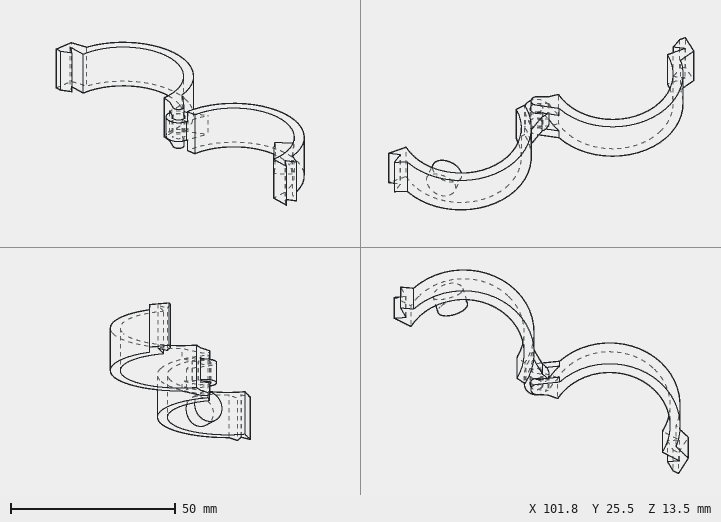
import cadquery as cq
import math

height = 13.5
inner_radius = 18.4
wall = 3.1
outer_radius = inner_radius + wall
ring_offset = 25.5
end_rise = 0.4

pin_radius = 3.5 / 2
hole_radius = 4.0 / 2
knuckle_radius = 3.8
knuckle_height = 6.5
fork_gap = 7.1
arm_root_height = 5.7
web_root_height = 7.2

left_end = -51.9
right_end = left_end + 101.8
hook_bottom = -4.0
hook_flat = 1.9
hook_tip = (-46.9, -2.0)
hook_shoulder = 2.1
hook_root_height = 3.8
catch_root_height = 5.7
catch_tip_height = 4.1
catch_notch_depth = 3.1

plug_diameter = 9.5
plug_face_distance = 12.4
plug_angle = 45.0


def ring_point(radius, y):
    """Horizontal distance from a ring centre to its circle at height y."""
    return math.sqrt(radius**2 - y**2)


def extrude_centred(sketch, depth):
    return sketch.extrude(depth).translate((0, 0, -depth / 2))


def prism(points, depth):
    return extrude_centred(cq.Workplane("XY").polyline(points).close(), depth)


def cylinder(radius, depth):
    return extrude_centred(cq.Workplane("XY").circle(radius), depth)


def half_ring(side):
    """Half ring on the left (side = -1) or right (side = 1) of the hinge."""
    centre = side * ring_offset
    hinge_outer = (centre - side * outer_radius, 0)
    hinge_inner = (centre - side * ring_point(inner_radius, end_rise), end_rise)
    outline = (
        cq.Workplane("XY")
        .moveTo(*hinge_outer)
        .threePointArc((centre, outer_radius), (centre + side * outer_radius, 0))
        .lineTo(centre + side * inner_radius, 0)
        .threePointArc((centre, inner_radius), hinge_inner)
        .close()
    )
    return extrude_centred(outline, height)


def pin_tangent_point(point, turn):
    """Point where the line from `point` touches the pin circle on one side."""
    distance = math.hypot(*point)
    angle = math.atan2(point[1], point[0]) + turn * math.acos(pin_radius / distance)
    return (pin_radius * math.cos(angle), pin_radius * math.sin(angle))


def fork():
    """Two arms tapering from the left ring to the hinge pin that joins them."""
    upper_root = (ring_point(outer_radius, arm_root_height) - ring_offset, arm_root_height)
    lower_root = (outer_radius - ring_offset, 0)
    inside_wall = (inner_radius + wall / 2 - ring_offset, end_rise)
    arms = (
        cq.Workplane("XY")
        .moveTo(*inside_wall)
        .lineTo(*upper_root)
        .lineTo(*pin_tangent_point(upper_root, -1))
        .threePointArc((pin_radius, 0), pin_tangent_point(lower_root, 1))
        .lineTo(*lower_root)
        .close()
    )
    gap = cylinder(outer_radius, fork_gap).cut(cylinder(pin_radius, fork_gap))
    return extrude_centred(arms, height).cut(gap)


def hook():
    """Barbed hook at the free end of the left ring."""
    mid_wall = -ring_offset - inner_radius - wall / 2
    points = [
        (mid_wall, 0),
        (left_end + hook_flat, 0),
        hook_tip,
        (left_end + hook_flat, hook_bottom),
        (left_end, hook_bottom),
        (left_end, hook_shoulder),
        (-ring_offset - ring_point(outer_radius, hook_root_height), hook_root_height),
    ]
    return prism(points, height)


def catch():
    """Notched catch at the free end of the right ring."""
    mid_wall = ring_offset + inner_radius + wall / 2
    points = [
        (mid_wall, 0),
        (right_end, 0),
        (right_end - catch_notch_depth, catch_tip_height / 2),
        (right_end, catch_tip_height),
        (ring_offset + ring_point(outer_radius, catch_root_height), catch_root_height),
    ]
    return prism(points, height)


def knuckle():
    """Hinge eye joined to the right ring by a sloping web, before boring."""
    web_root = ring_offset - ring_point(outer_radius, web_root_height)
    points = [
        (0, 0),
        (0, knuckle_radius),
        (web_root, web_root_height),
        (ring_offset - outer_radius + wall / 2, end_rise),
        (ring_offset - outer_radius, 0),
    ]
    return cylinder(knuckle_radius, knuckle_height).union(prism(points, knuckle_height))


def plug():
    """Round plug pointing from the right ring wall toward the ring centre."""
    length = inner_radius + wall / 2 - plug_face_distance
    return (
        cq.Workplane("YZ")
        .workplane(offset=plug_face_distance)
        .circle(plug_diameter / 2)
        .extrude(length)
        .rotate((0, 0, 0), (0, 0, 1), plug_angle)
        .translate((ring_offset, 0, 0))
    )


left_half = half_ring(-1).union(hook()).union(fork())

right_half = half_ring(1).union(catch()).union(plug()).union(knuckle())
right_half = right_half.cut(cylinder(hole_radius, knuckle_height))

result = cq.Compound.makeCompound([left_half.val(), right_half.val()])